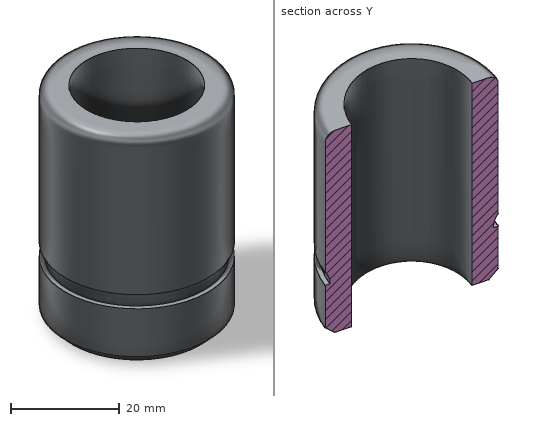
import cadquery as cq

height = 50.0
outer_radius = 18.0
bore_radius = 12.5

top_fillet = 2.2
bottom_chamfer = 2.0

groove_bottom = 12.5
groove_height = 3.1
groove_depth = 1.0
groove_arc_radius = 5.0


def make_sleeve():
    body = cq.Workplane("XY").circle(outer_radius).extrude(height)
    body = body.faces(">Z").edges().fillet(top_fillet)
    body = body.faces("<Z").edges().chamfer(bottom_chamfer)
    return body.cut(cq.Workplane("XY").circle(bore_radius).extrude(height))


def make_groove():
    """Ring removed from the outer wall, revolved about the Z axis."""
    floor_radius = outer_radius - groove_depth
    return (
        cq.Workplane("XZ")
        .moveTo(outer_radius, groove_bottom)
        .lineTo(floor_radius, groove_bottom)
        .radiusArc((outer_radius, groove_bottom + groove_height), groove_arc_radius)
        .close()
        .revolve(360, (0, 0, 0), (0, 1, 0))
    )


result = make_sleeve().cut(make_groove())